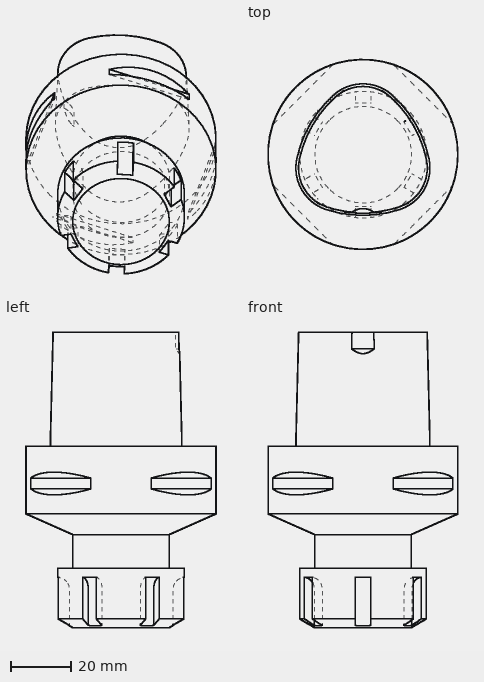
import cadquery as cq
import math

total_height = 98.0
nut_chamfer_top = 2.9
nut_top = 19.8
neck_top = 30.9
collar_bottom = 37.7
collar_top = 60.2
taper_start = 62.9

collar_radius = 63.0 / 2
neck_radius = 32.0 / 2
nut_radius = 42.0 / 2

lobe_count = 3
lobe_reach = 23.4
flank_reach = 20.2
lobe_radius = 14.5
taper_rate = 1 / 40

notch_radius = 6.0
notch_inner_distance = 17.9
notch_depth = 5.6

groove_count = 4
groove_floor_distance = 28.2
groove_floor_height = 3.6
groove_mouth_height = 7.5
groove_middle = 47.8

slot_count = 6
slot_width = 5.2
slot_top = 16.8
slot_floor_distance = 17.15
slot_end_radius = 4.0

margin = 4.9


def polar(distance, degrees):
    angle = math.radians(degrees)
    return distance * math.cos(angle), distance * math.sin(angle)


def shank_outline(height, inset):
    """Closed three-lobed outline, moved inward by inset along its normals."""
    lobe_centre = lobe_reach - lobe_radius
    gap = flank_reach - lobe_radius
    flank_centre = (lobe_centre**2 - gap**2) / (2 * gap - lobe_centre)
    half_step = 180 / lobe_count
    centre_spacing = flank_centre + gap
    _, lobe_offset = polar(lobe_centre, half_step)
    flank_half_angle = math.degrees(math.asin(lobe_offset / centre_spacing))
    lobe_half_angle = half_step - flank_half_angle

    def lobe_end(lobe_angle, side):
        cx, cy = polar(lobe_centre, lobe_angle)
        dx, dy = polar(lobe_radius - inset, lobe_angle + side * lobe_half_angle)
        return cx + dx, cy + dy

    first_angle = 90
    outline = cq.Workplane("XY").workplane(offset=height).moveTo(*lobe_end(first_angle, -1))
    for index in range(lobe_count):
        lobe_angle = first_angle + 2 * index * half_step
        flank_angle = lobe_angle + half_step
        next_lobe_angle = flank_angle + half_step
        outline = outline.threePointArc(polar(lobe_reach - inset, lobe_angle), lobe_end(lobe_angle, 1))
        outline = outline.threePointArc(polar(flank_reach - inset, flank_angle), lobe_end(next_lobe_angle, -1))
    return outline.close()


def make_shank():
    top_inset = (total_height - taper_start) * taper_rate
    base = shank_outline(collar_top, 0).extrude(taper_start - collar_top)
    base_wire = shank_outline(taper_start, 0).val()
    top_wire = shank_outline(total_height, top_inset).val()
    return base.union(cq.Workplane(cq.Solid.makeLoft([base_wire, top_wire], True)))


def make_round_body():
    profile = [
        (0, 0),
        (neck_radius, 0),
        (nut_radius, nut_chamfer_top),
        (nut_radius, nut_top),
        (neck_radius, nut_top),
        (neck_radius, neck_top),
        (collar_radius, collar_bottom),
        (collar_radius, collar_top),
        (0, collar_top),
    ]
    return cq.Workplane("XZ").polyline(profile).close().revolve(360, (0, 0), (0, 1))


def make_notch_cutter():
    """Vertical drill with a 45 degree conical point, its axis just outside the shank."""
    shoulder = total_height - notch_depth
    profile = [
        (0, shoulder - notch_radius),
        (notch_radius, shoulder),
        (notch_radius, total_height + margin),
        (0, total_height + margin),
    ]
    drill = cq.Workplane("XZ").polyline(profile).close().revolve(360, (0, 0), (0, 1))
    return drill.translate((0, -notch_inner_distance - notch_radius, 0))


def make_groove_cutter():
    """Straight groove along Y whose sides flare outward from a flat floor."""
    floor_half = groove_floor_height / 2
    mouth_half = groove_mouth_height / 2
    flare = (mouth_half - floor_half) / (collar_radius - groove_floor_distance)
    outer = collar_radius + margin
    outer_half = mouth_half + margin * flare
    profile = [
        (groove_floor_distance, groove_middle - floor_half),
        (outer, groove_middle - outer_half),
        (outer, groove_middle + outer_half),
        (groove_floor_distance, groove_middle + floor_half),
    ]
    return cq.Workplane("XZ").polyline(profile).close().extrude(collar_radius, both=True)


def make_slot_cutter():
    """Slot open at the bottom, running out to the nut surface in an arc at the top."""
    outer = nut_radius + margin
    arc_centre_x = slot_floor_distance + slot_end_radius
    arc_centre_z = slot_top - slot_end_radius
    diagonal = slot_end_radius * math.sqrt(0.5)
    return (
        cq.Workplane("XZ")
        .moveTo(slot_floor_distance, -margin)
        .lineTo(slot_floor_distance, arc_centre_z)
        .threePointArc((arc_centre_x - diagonal, arc_centre_z + diagonal), (arc_centre_x, slot_top))
        .lineTo(outer, slot_top)
        .lineTo(outer, -margin)
        .close()
        .extrude(slot_width / 2, both=True)
    )


def cut_around(body, cutter, count, first_angle):
    for index in range(count):
        angle = first_angle + index * 360 / count
        body = body.cut(cutter.rotate((0, 0, 0), (0, 0, 1), angle))
    return body


result = make_round_body().union(make_shank())
result = result.cut(make_notch_cutter())
result = cut_around(result, make_groove_cutter(), groove_count, 45)
result = cut_around(result, make_slot_cutter(), slot_count, 30)